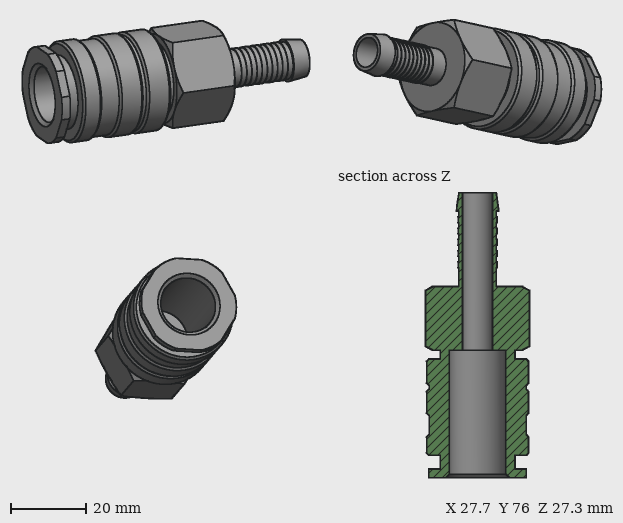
import cadquery as cq
import math


total_length = 76.0
flange_end = 2.4
front_ring_start = 6.0
front_ring_end = 11.55
middle_ring_start = 16.65
middle_ring_end = 23.6
rear_ring_start = 24.6
rear_ring_end = 31.7
hex_start = 34.0
hex_end = 51.0
barb_start = 71.05

neck_dia = 20.0
sleeve_dia = 26.0
ring_dia = 27.3
flange_across_flats = 25.0
hex_across_flats = 24.0
tail_dia = 10.0
rib_dia = 10.4
barb_dia = 11.4

rib_count = 5
first_rib_start = 56.0
rib_width = 1.5
rib_pitch = 3.0

bore_dia = 8.0
socket_dia = 15.0
socket_depth = hex_start
mouth_dia = 17.0

ring_bevel = (ring_dia - sleeve_dia) / 2
hex_bevel_angle = math.radians(30)


def cone(start, end, start_dia, end_dia):
    """Solid of revolution about Y whose diameter changes evenly from start to end."""
    half_section = [(0, start), (start_dia / 2, start), (end_dia / 2, end), (0, end)]
    return cq.Workplane("XY").polyline(half_section).close().revolve(360, (0, 0, 0), (0, 1, 0))


def cylinder(start, end, dia):
    return cone(start, end, dia, dia)


def hexagon(start, end, across_flats):
    """Hexagonal bar along Y with flats facing +Z and -Z and corners on the X axis."""
    across_corners = across_flats / math.cos(math.pi / 6)
    bar = cq.Workplane("XZ").polygon(6, across_corners).extrude(start - end)
    return bar.translate((0, start, 0))


def grip_ring(start, end):
    """Sleeve ring beveled at both edges down to the sleeve diameter."""
    middle = cylinder(start + ring_bevel, end - ring_bevel, ring_dia)
    front = cone(start, start + ring_bevel, sleeve_dia, ring_dia)
    rear = cone(end - ring_bevel, end, ring_dia, sleeve_dia)
    return middle.union(front).union(rear)


def flange():
    """Round flange with six narrow flats."""
    disc = cylinder(0, flange_end, sleeve_dia)
    return disc.intersect(hexagon(0, flange_end, flange_across_flats))


def hex_nut():
    """Hexagon whose corners are turned off at both ends, starting at the flats."""
    middle_y = (hex_start + hex_end) / 2
    half_length = (hex_end - hex_start) / 2
    widest_dia = hex_across_flats + 2 * half_length / math.tan(hex_bevel_angle)
    front = cone(hex_start, middle_y, hex_across_flats, widest_dia)
    rear = cone(middle_y, hex_end, widest_dia, hex_across_flats)
    return hexagon(hex_start, hex_end, hex_across_flats).intersect(front.union(rear))


def hose_tail():
    """Tube with raised grip ribs and a tapered barb at its end."""
    tail = cylinder(hex_end, barb_start, tail_dia)
    for index in range(rib_count):
        rib_start = first_rib_start + index * rib_pitch
        tail = tail.union(cylinder(rib_start, rib_start + rib_width, rib_dia))
    return tail.union(cone(barb_start, total_length, barb_dia, tail_dia))


def passage():
    """Plug socket with a beveled mouth, followed by the through bore."""
    mouth_bevel = (mouth_dia - socket_dia) / 2
    bore = cylinder(0, total_length, bore_dia)
    socket = cylinder(0, socket_depth, socket_dia)
    mouth = cone(0, mouth_bevel, mouth_dia, socket_dia)
    return bore.union(socket).union(mouth)


neck = cylinder(flange_end, hex_start, neck_dia)
sleeve = cylinder(front_ring_start, rear_ring_end, sleeve_dia)

body = neck.union(sleeve).union(flange()).union(hex_nut()).union(hose_tail())
body = body.union(grip_ring(front_ring_start, front_ring_end))
body = body.union(grip_ring(middle_ring_start, middle_ring_end))
body = body.union(grip_ring(rear_ring_start, rear_ring_end))

result = body.cut(passage())